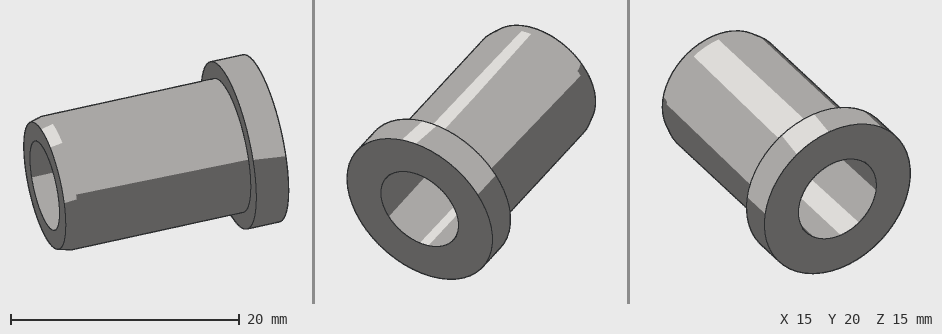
import cadquery as cq
import math

total_length = 20.0
flange_diameter = 15.0
flange_thickness = 3.0
body_diameter = 12.0
bore_diameter = 8.0

taper_depth = 0.3
taper_angle = 15.0
taper_length = taper_depth / math.tan(math.radians(taper_angle))

bore_radius = bore_diameter / 2
body_radius = body_diameter / 2
flange_radius = flange_diameter / 2
flange_start = total_length - flange_thickness

half_section = (
    cq.Workplane("XY")
    .moveTo(bore_radius, 0)
    .lineTo(body_radius - taper_depth, 0)
    .lineTo(body_radius, taper_length)
    .lineTo(body_radius, flange_start)
    .lineTo(flange_radius, flange_start)
    .lineTo(flange_radius, total_length)
    .lineTo(bore_radius, total_length)
    .close()
)

result = half_section.revolve(360, (0, 0, 0), (0, 1, 0))